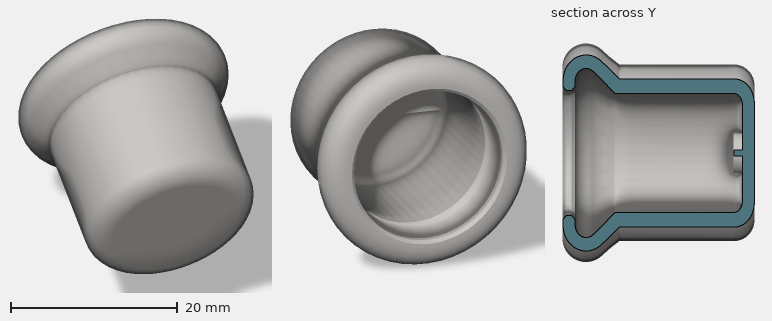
import cadquery as cq
import math


length = 23.0
wall = 1.5
floor_x = length - wall
body_radius = 10.6
bore_radius = body_radius - wall

bead_center_radius = 10.3
bead_outer_radius = 2.8
bead_inner_radius = bead_outer_radius - wall
bead_center_x = bead_outer_radius
cone_angle = math.radians(40)

lip_radius = 9.4
lip_chamfer = 0.4

end_outer_fillet = 2.5
end_inner_fillet = end_outer_fillet - wall

pad_disc_radius = 2.35
pad_bar_width = 0.8
pad_height = end_inner_fillet


def bead_point(radius, angle):
    """Point on the bead circle, with the angle measured from the outermost point towards +X."""
    x = bead_center_x + radius * math.sin(angle)
    r = bead_center_radius + radius * math.cos(angle)
    return (x, r)


def cone_end(cone_start, end_radius):
    """Point where the cone tangent to the bead comes down to the given radius."""
    start_x, start_radius = cone_start
    return (start_x + (start_radius - end_radius) / math.tan(cone_angle), end_radius)


def fillet_middle(center_x, center_radius, fillet):
    """Middle point of a quarter-circle fillet at the closed end."""
    offset = fillet * math.sqrt(0.5)
    return (center_x + offset, center_radius + offset)


def make_shell():
    """Revolve the wall profile, drawn as (x, radius), about the X axis."""
    outer_cone_start = bead_point(bead_outer_radius, cone_angle)
    inner_cone_start = bead_point(bead_inner_radius, cone_angle)
    fillet_x = length - end_outer_fillet
    fillet_radius = body_radius - end_outer_fillet
    lip_edge_radius = lip_radius + lip_chamfer

    profile = (
        cq.Workplane("XY")
        .moveTo(0, lip_edge_radius)
        .lineTo(0, bead_center_radius)
        .threePointArc(bead_point(bead_outer_radius, 0), outer_cone_start)
        .lineTo(*cone_end(outer_cone_start, body_radius))
        .lineTo(fillet_x, body_radius)
        .threePointArc(
            fillet_middle(fillet_x, fillet_radius, end_outer_fillet),
            (length, fillet_radius),
        )
        .lineTo(length, 0)
        .lineTo(floor_x, 0)
        .lineTo(floor_x, fillet_radius)
        .threePointArc(
            fillet_middle(fillet_x, fillet_radius, end_inner_fillet),
            (fillet_x, bore_radius),
        )
        .lineTo(*cone_end(inner_cone_start, bore_radius))
        .lineTo(*inner_cone_start)
        .threePointArc(bead_point(bead_inner_radius, 0), (wall, bead_center_radius))
        .lineTo(wall, lip_edge_radius)
        .lineTo(wall - lip_chamfer, lip_radius)
        .lineTo(lip_chamfer, lip_radius)
        .close()
    )
    return profile.revolve(360, (0, 0, 0), (1, 0, 0))


def make_pad():
    """Disc on the axis with a bar running out to the bore wall on the -Y side."""
    pad_plane = cq.Workplane("YZ", origin=(floor_x - pad_height, 0, 0))
    disc = pad_plane.circle(pad_disc_radius).extrude(pad_height)
    bore_disc = pad_plane.circle(bore_radius).extrude(pad_height)
    bar_length = body_radius
    bar = pad_plane.center(-bar_length / 2, 0).rect(bar_length, pad_bar_width).extrude(pad_height)
    return disc.union(bar.intersect(bore_disc))


result = make_shell().union(make_pad())